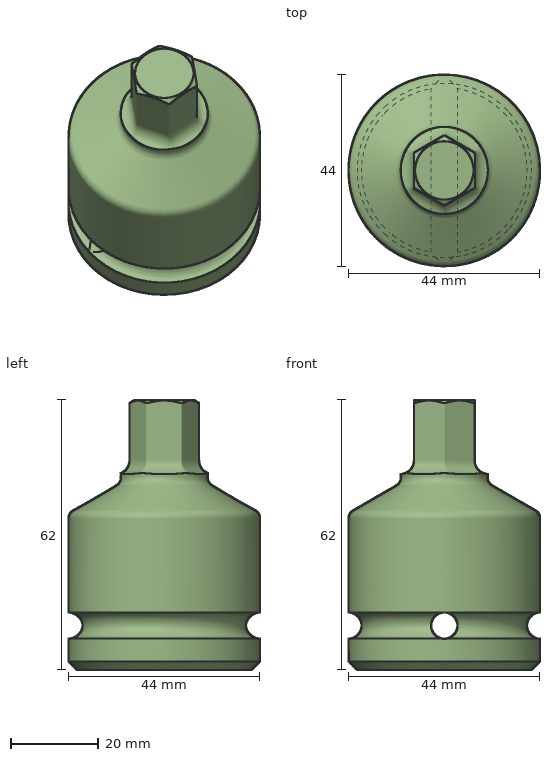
import cadquery as cq
import math

total_height = 62.0
hex_length = 14.0
root_fillet = 3.0
collar_top = total_height - hex_length - root_fillet

body_radius = 22.0
collar_radius = 10.0
bottom_chamfer = 2.0
shoulder_height = 36.0
shoulder_slope = math.radians(30.0)
shoulder_fillet = 2.0
cone_rise = (body_radius - collar_radius) * math.tan(shoulder_slope)
cone_top = shoulder_height + cone_rise

groove_height = 10.2
groove_radius = 3.0

across_flats = 14.0
across_corners = across_flats / math.cos(math.radians(30.0))
hex_edge_radius = 0.4
hex_plate_thickness = 1.0
tip_radius = 6.7
tip_slope = math.radians(30.0)


def edges_near_height(radius, height):
    """Selector for edges that lie at one height, within a radius of the axis."""
    margin = 0.1
    reach = radius + margin
    return cq.selectors.BoxSelector(
        (-reach, -reach, height - margin),
        (reach, reach, height + margin),
        boundingbox=True,
    )


def make_body():
    """Turned body: chamfered base, cylinder, conical shoulder and collar."""
    body = (
        cq.Workplane("XZ")
        .moveTo(0, 0)
        .lineTo(body_radius - bottom_chamfer, 0)
        .lineTo(body_radius, bottom_chamfer)
        .lineTo(body_radius, shoulder_height)
        .lineTo(collar_radius, cone_top)
        .lineTo(collar_radius, collar_top)
        .lineTo(0, collar_top)
        .close()
        .revolve(360, (0, 0, 0), (0, 1, 0))
    )
    for corner_radius, corner_height in ((body_radius, shoulder_height), (collar_radius, cone_top)):
        body = body.edges(edges_near_height(corner_radius, corner_height)).fillet(shoulder_fillet)
    return body


def make_tip_envelope():
    """Cylinder with a shallow conical top that bevels the hexagon corners."""
    bottom = collar_top - hex_plate_thickness
    cone_drop = (collar_radius - tip_radius) * math.tan(tip_slope)
    return (
        cq.Workplane("XZ")
        .moveTo(0, bottom)
        .lineTo(collar_radius, bottom)
        .lineTo(collar_radius, total_height - cone_drop)
        .lineTo(tip_radius, total_height)
        .lineTo(0, total_height)
        .close()
        .revolve(360, (0, 0, 0), (0, 1, 0))
    )


def make_hex_bit():
    """Hexagon with rounded edges and a filleted root, trimmed to the collar."""
    plate_radius = across_corners
    plate = (
        cq.Workplane("XY", origin=(0, 0, collar_top - hex_plate_thickness))
        .circle(plate_radius)
        .extrude(hex_plate_thickness)
    )
    prism = (
        cq.Workplane("XY", origin=(0, 0, collar_top))
        .transformed(rotate=(0, 0, 90))
        .polygon(6, across_corners)
        .extrude(total_height - collar_top)
        .edges("|Z")
        .fillet(hex_edge_radius)
    )
    root_edges = edges_near_height(across_corners / 2, collar_top)
    rooted = plate.union(prism).edges(root_edges).fillet(root_fillet)
    return rooted.intersect(make_tip_envelope())


def make_groove_cutter():
    """Ring of round section centred on the body surface."""
    return cq.Workplane(cq.Solid.makeTorus(body_radius, groove_radius, cq.Vector(0, 0, groove_height)))


def make_pin_hole_cutter():
    """Pin hole crossing the whole body along Y."""
    return (
        cq.Workplane("XZ", origin=(0, 0, groove_height))
        .circle(groove_radius)
        .extrude(body_radius, both=True)
    )


result = make_body().union(make_hex_bit()).cut(make_groove_cutter()).cut(make_pin_hole_cutter())